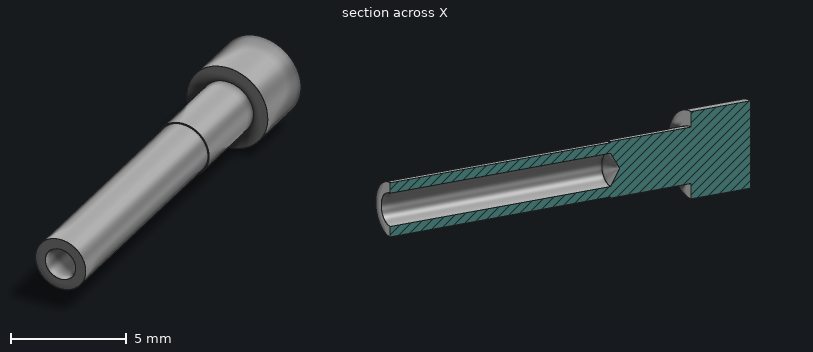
import cadquery as cq
import math

total_length = 18.0
head_diameter = 4.0
head_length = 3.0
collar_diameter = 2.6
collar_length = 4.0
barrel_diameter = 2.48
barrel_length = total_length - head_length - collar_length

bore_diameter = 1.5
bore_depth = barrel_length
drill_point_angle = 118.0


def cylinder(diameter, start, length):
    """Solid cylinder on the Y axis, running from start towards +Y."""
    axis = cq.Vector(0, 1, 0)
    return cq.Workplane(cq.Solid.makeCylinder(diameter / 2, length, cq.Vector(0, start, 0), axis))


def drilled_bore():
    """Cutting shape of the bore: a revolved half profile with a conical end."""
    radius = bore_diameter / 2
    cone_height = radius / math.tan(math.radians(drill_point_angle / 2))
    return (
        cq.Workplane("XY")
        .polyline([(0, 0), (radius, 0), (radius, bore_depth), (0, bore_depth + cone_height)])
        .close()
        .revolve(360, (0, 0, 0), (0, 1, 0))
    )


barrel = cylinder(barrel_diameter, 0, barrel_length)
collar = cylinder(collar_diameter, barrel_length, collar_length)
head = cylinder(head_diameter, barrel_length + collar_length, head_length)

result = barrel.union(collar).union(head).cut(drilled_bore())